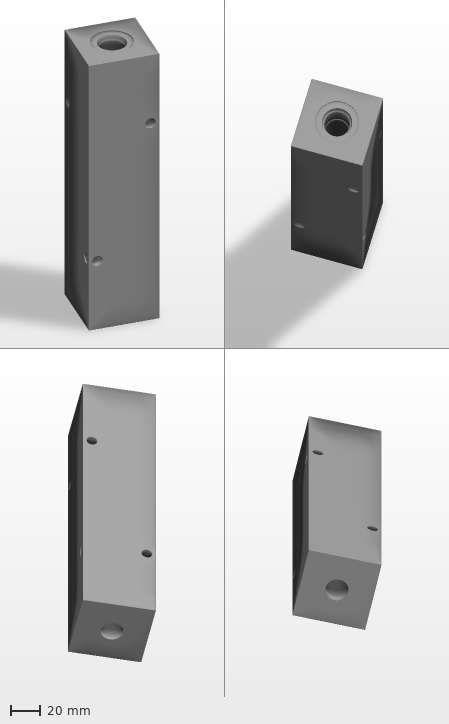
import cadquery as cq
import math

height = 209.5
side = 50.7
edge_break = 0.25

bore_diameter = 15.7
spotface_diameter = 30.0
spotface_depth = 0.8
seat_diameter = 20.7
seat_depth = 2.5
seat_half_angle = 15.0
thread_chamfer = 0.95
thread_diameter = 17.4
thread_depth = 16.8

hole_diameter = 7.1
hole_pitch_across = 38.1
hole_pitch_up = 101.6
hole_chamfer = 0.31


def port_cutter():
    """Revolved bore, thread drilling, tapered seal seat and spotface."""
    top = height / 2
    spotface_floor = top - spotface_depth
    seat_floor = spotface_floor - seat_depth
    thread_floor = spotface_floor - thread_depth
    bore_radius = bore_diameter / 2
    thread_radius = thread_diameter / 2
    seat_radius = seat_diameter / 2
    seat_floor_radius = seat_radius - seat_depth * math.tan(math.radians(seat_half_angle))
    spotface_radius = spotface_diameter / 2
    profile = [
        (0, -top),
        (bore_radius, -top),
        (bore_radius, thread_floor),
        (thread_radius, thread_floor),
        (thread_radius, seat_floor - thread_chamfer),
        (thread_radius + thread_chamfer, seat_floor),
        (seat_floor_radius, seat_floor),
        (seat_radius, spotface_floor),
        (spotface_radius, spotface_floor),
        (spotface_radius, top),
        (0, top),
    ]
    return cq.Workplane("XZ").polyline(profile).close().revolve(360, (0, 0), (0, 1))


def mounting_hole_pair():
    """Two through holes along Y, diagonally opposed, chamfered at both mouths."""
    across = hole_pitch_across / 2
    up = hole_pitch_up / 2
    mouth_diameter = hole_diameter + 2 * hole_chamfer
    centres = [(-across, up), (across, -up)]
    drills = (
        cq.Workplane("XZ", origin=(0, side / 2, 0))
        .pushPoints(centres)
        .circle(hole_diameter / 2)
        .extrude(side)
    )
    for face_y, inward in ((-side / 2, 1), (side / 2, -1)):
        for x, z in centres:
            mouth = cq.Solid.makeCone(
                mouth_diameter / 2,
                hole_diameter / 2,
                hole_chamfer,
                pnt=cq.Vector(x, face_y, z),
                dir=cq.Vector(0, inward, 0),
            )
            drills = drills.union(cq.Workplane(mouth))
    return drills


holes_along_y = mounting_hole_pair()
holes_along_x = holes_along_y.rotate((0, 0, 0), (0, 0, 1), -90)

result = (
    cq.Workplane("XY")
    .box(side, side, height)
    .edges()
    .chamfer(edge_break)
    .cut(port_cutter())
    .cut(holes_along_y)
    .cut(holes_along_x)
)